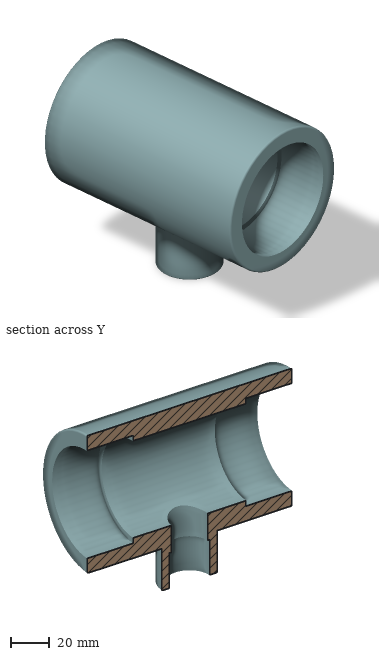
import cadquery as cq

length = 128.5
outer_diameter = 81.0
socket_diameter = 63.0
bore_diameter = 56.7
socket_depth = 28.8

branch_diameter = 35.2
branch_socket_diameter = 25.0
branch_bore_diameter = 22.7
branch_reach = 65.0
branch_socket_depth = 20.5

edge_radius = 1.0


def sleeve_cylinder(diameter, start, end):
    """Cylinder on the X axis between two X positions."""
    return cq.Workplane("YZ").workplane(offset=start).circle(diameter / 2).extrude(end - start)


def branch_cylinder(diameter, depth):
    """Cylinder rising by depth from the open end of the branch."""
    return cq.Workplane("XY").workplane(offset=-branch_reach).circle(diameter / 2).extrude(depth)


half_length = length / 2
sleeve = sleeve_cylinder(outer_diameter, -half_length, half_length).edges().fillet(edge_radius)
branch = branch_cylinder(branch_diameter, branch_reach).faces("<Z").edges().fillet(edge_radius)
body = sleeve.union(branch)

body = body.cut(sleeve_cylinder(bore_diameter, -half_length, half_length))
body = body.cut(sleeve_cylinder(socket_diameter, -half_length, -half_length + socket_depth))
body = body.cut(sleeve_cylinder(socket_diameter, half_length - socket_depth, half_length))

body = body.cut(branch_cylinder(branch_bore_diameter, branch_reach))
body = body.cut(branch_cylinder(branch_socket_diameter, branch_socket_depth))

result = body